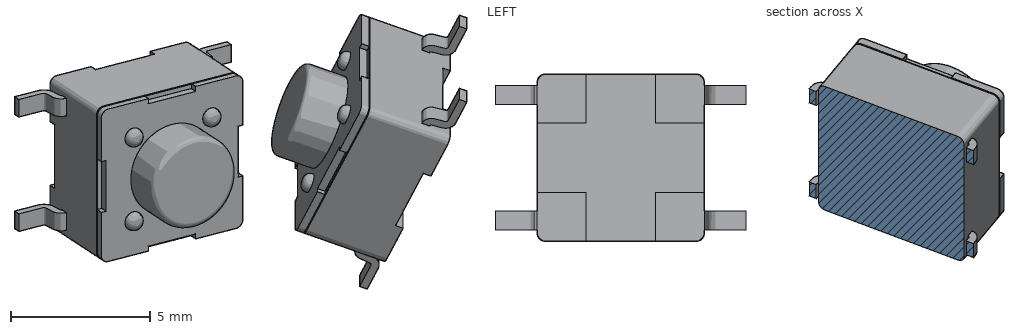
import cadquery as cq
import math

side = 6.0
housing_depth = 3.17
corner_radius = 0.3
channel_width = 2.5
channel_depth = 0.3

cover_thickness = 0.3
notch_width = 2.0
notch_depth = 0.2

seam_width = 0.03
seam_depth = 0.03

overall_depth = 5.0
button_diameter = 3.5
button_edge_radius = 0.21

rivet_diameter = 0.7
rivet_height = 0.3
rivet_edge_radius = 0.25
rivet_offset = 1.65

terminal_span = 9
terminal_width = 0.69
terminal_thickness = 0.3
terminal_offset = 2.25
foot_length = 1.0
foot_bend_radius = 0.1
entry_bend_radius = 0.07
slant_length = 0.4
slant_angle = math.radians(6)
embed_depth = 0.2

cover_face = housing_depth + cover_thickness


def square_block(start, depth):
    """Block with rounded corners, extruded along +X from X = start."""
    block = cq.Workplane("YZ", origin=(start, 0, 0)).rect(side, side).extrude(depth)
    return block.edges("|X").fillet(corner_radius)


def make_housing():
    channel_y = cq.Workplane("XY").box(2 * channel_depth, side, channel_width)
    channel_z = cq.Workplane("XY").box(2 * channel_depth, channel_width, side)
    return square_block(0, housing_depth).cut(channel_y).cut(channel_z)


def make_cover():
    cover = square_block(housing_depth, cover_thickness)
    notch_centre = (housing_depth + cover_thickness / 2, 0, side / 2)
    notch = cq.Workplane("XY").box(cover_thickness, notch_width, 2 * notch_depth).translate(notch_centre)
    for quarter in range(4):
        cover = cover.cut(notch.rotate((0, 0, 0), (1, 0, 0), 90 * quarter))
    return cover


def make_seam():
    """Thin ring to remove just behind the cover plate."""
    seam_start = housing_depth - seam_width
    ring = cq.Workplane("YZ", origin=(seam_start, 0, 0)).rect(side, side).extrude(seam_width)
    core_side = side - 2 * seam_depth
    core = (
        cq.Workplane("YZ", origin=(seam_start, 0, 0))
        .rect(core_side, core_side)
        .extrude(seam_width)
        .edges("|X")
        .fillet(corner_radius - seam_depth)
    )
    return ring.cut(core)


def make_button():
    height = overall_depth - cover_face
    button = cq.Workplane("YZ", origin=(cover_face, 0, 0)).circle(button_diameter / 2).extrude(height)
    return button.faces(">X").edges().fillet(button_edge_radius)


def make_rivets():
    spacing = 2 * rivet_offset
    rivets = (
        cq.Workplane("YZ", origin=(cover_face, 0, 0))
        .rect(spacing, spacing, forConstruction=True)
        .vertices()
        .circle(rivet_diameter / 2)
        .extrude(rivet_height)
    )
    return rivets.faces(">X").edges().fillet(rivet_edge_radius)


def on_circle(centre, radius, angle):
    """Point at the given angle, measured from +X towards +Y."""
    return (centre[0] + radius * math.cos(angle), centre[1] + radius * math.sin(angle))


def make_terminal():
    """S-bent strip on the +Y side, centred on Z = 0."""
    foot_inner = foot_bend_radius
    foot_outer = foot_inner + terminal_thickness
    entry_inner = entry_bend_radius
    entry_outer = entry_inner + terminal_thickness
    tip = terminal_span / 2
    end = side / 2 - embed_depth

    normal = math.pi / 2 - slant_angle
    foot_centre = (foot_outer, tip - foot_length)
    foot_end = normal + math.pi
    slant_start = on_circle(foot_centre, foot_inner, foot_end)
    slant_end = on_circle(slant_start, slant_length, -slant_angle)
    entry_centre = on_circle(slant_end, entry_outer, foot_end)

    foot_middle = (math.pi + foot_end) / 2
    entry_middle = normal / 2
    entry_x = entry_centre[0]

    strip = (
        cq.Workplane("XY")
        .moveTo(0, tip)
        .lineTo(0, foot_centre[1])
        .threePointArc(
            on_circle(foot_centre, foot_outer, foot_middle),
            on_circle(foot_centre, foot_outer, foot_end),
        )
        .lineTo(*on_circle(entry_centre, entry_inner, normal))
        .threePointArc(
            on_circle(entry_centre, entry_inner, entry_middle),
            on_circle(entry_centre, entry_inner, 0),
        )
        .lineTo(entry_x + entry_inner, end)
        .lineTo(entry_x + entry_outer, end)
        .lineTo(entry_x + entry_outer, entry_centre[1])
        .threePointArc(on_circle(entry_centre, entry_outer, entry_middle), slant_end)
        .lineTo(*slant_start)
        .threePointArc(
            on_circle(foot_centre, foot_inner, foot_middle),
            on_circle(foot_centre, foot_inner, math.pi),
        )
        .lineTo(terminal_thickness, tip)
        .close()
    )
    return strip.extrude(terminal_width / 2, both=True)


result = make_housing().cut(make_seam()).union(make_cover()).union(make_button()).union(make_rivets())

terminal = make_terminal()
for strip in (terminal, terminal.mirror("XZ")):
    for offset in (-terminal_offset, terminal_offset):
        result = result.union(strip.translate((0, 0, offset)))